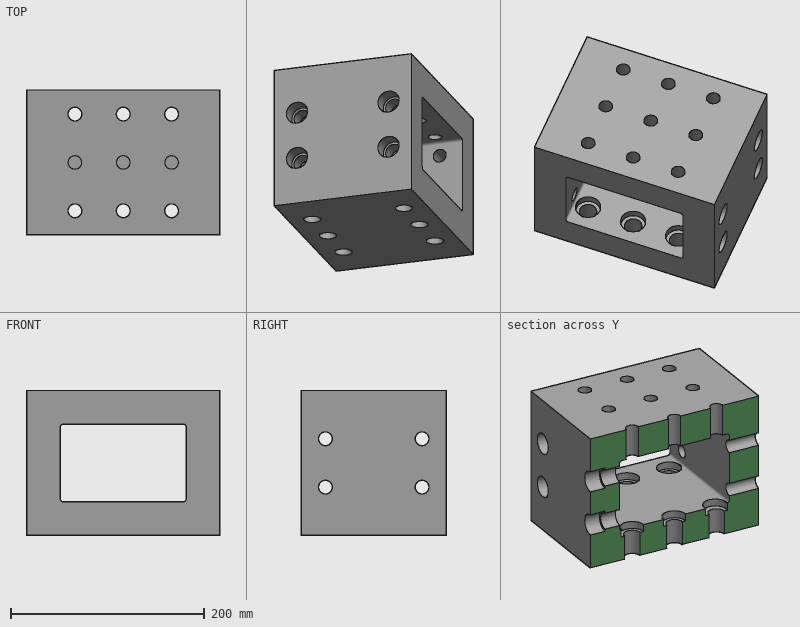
import cadquery as cq

LENGTH = 200.0
WIDTH = 150.0
HEIGHT = 150.0

WALL = 35.0
WINDOW_CORNER_RADIUS = 3.0

PITCH = 50.0
SMALL_HOLE_DIAMETER = 14.0
BOLT_HOLE_DIAMETER = 18.0
FLOOR_BORE_DIAMETER = 26.0
FLOOR_BORE_DEPTH = 8.0
FRONT_RIGHT_BORE_SHIFT = 2.8
SIDE_BORE_DIAMETER = 23.0
SIDE_BORE_DEPTH = WALL / 2

ROWS_ALONG_X = (-PITCH, 0, PITCH)
ROWS_ALONG_Y = (-PITCH, 0, PITCH)
OUTER_ROWS_Y = (-PITCH, PITCH)
TOP_POINTS = [(x, y) for x in ROWS_ALONG_X for y in ROWS_ALONG_Y]
FLOOR_POINTS = [(x, y) for x in ROWS_ALONG_X for y in OUTER_ROWS_Y]
FRONT_RIGHT_POINT = (PITCH, -PITCH)
FLOOR_BORE_POINTS = [point for point in FLOOR_POINTS if point != FRONT_RIGHT_POINT]
FLOOR_BORE_POINTS.append((PITCH, -PITCH + FRONT_RIGHT_BORE_SHIFT))
SIDE_POINTS = [(y, z) for y in OUTER_ROWS_Y for z in (-PITCH / 2, PITCH / 2)]


def cylinders(plane, start, depth, diameter, points):
    """Cylinders along the normal of a base plane, beginning at the given coordinate."""
    return (
        cq.Workplane(plane)
        .workplane(offset=start)
        .pushPoints(points)
        .circle(diameter / 2)
        .extrude(depth)
    )


def framed_block():
    """Block with the round-cornered window cut through it."""
    window = (
        cq.Workplane("XY")
        .box(LENGTH - 2 * WALL, WIDTH, HEIGHT - 2 * WALL)
        .edges("|Y")
        .fillet(WINDOW_CORNER_RADIUS)
    )
    return cq.Workplane("XY").box(LENGTH, WIDTH, HEIGHT).cut(window)


def top_holes():
    """Plain holes through the top wall."""
    return cylinders("XY", HEIGHT / 2 - WALL, WALL, SMALL_HOLE_DIAMETER, TOP_POINTS)


def floor_holes():
    """Bolt holes through the floor, counterbored from inside the window."""
    floor_top = WALL - HEIGHT / 2
    holes = cylinders("XY", -HEIGHT / 2, WALL, BOLT_HOLE_DIAMETER, FLOOR_POINTS)
    bore_bottom = floor_top - FLOOR_BORE_DEPTH
    bores = cylinders("XY", bore_bottom, FLOOR_BORE_DEPTH, FLOOR_BORE_DIAMETER, FLOOR_BORE_POINTS)
    return holes.union(bores)


def left_wall_holes():
    """Bolt holes through the -X wall, counterbored from outside."""
    holes = cylinders("YZ", -LENGTH / 2, WALL, BOLT_HOLE_DIAMETER, SIDE_POINTS)
    bores = cylinders("YZ", -LENGTH / 2, SIDE_BORE_DEPTH, SIDE_BORE_DIAMETER, SIDE_POINTS)
    return holes.union(bores)


def right_wall_holes():
    """Plain holes through the +X wall, in line with those of the -X wall."""
    return cylinders("YZ", LENGTH / 2 - WALL, WALL, SMALL_HOLE_DIAMETER, SIDE_POINTS)


result = (
    framed_block()
    .cut(top_holes())
    .cut(floor_holes())
    .cut(left_wall_holes())
    .cut(right_wall_holes())
)